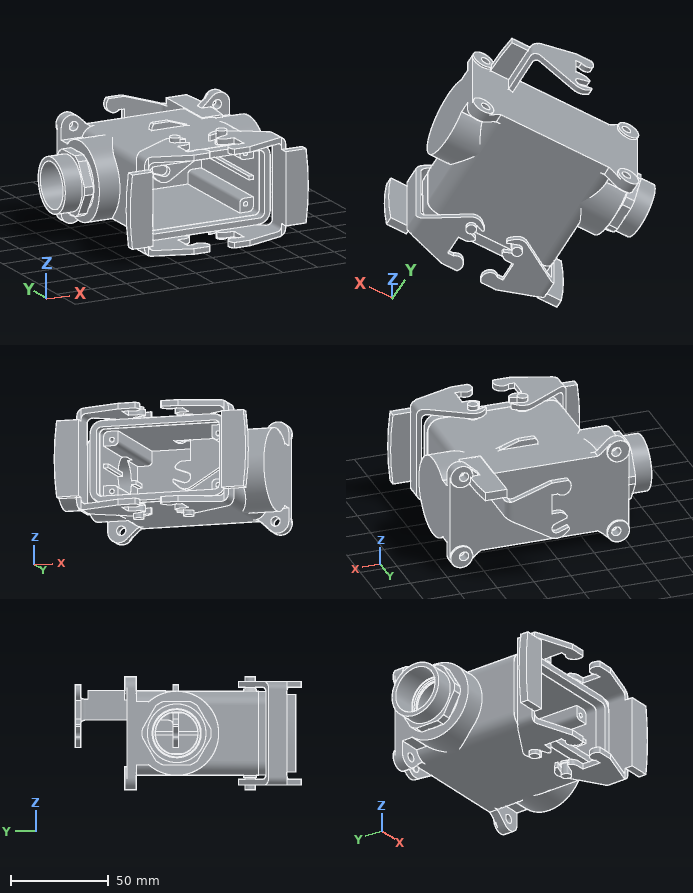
import cadquery as cq
import math


body_half_x = 36.8
body_half_z = 21.5
body_corner = 7.1
rear_y = 25.5
collar_rear_y = -41.9
collar_length = 5.7
collar_inset_x = 0.3
collar_inset_z = 0.1
wall = 3.6
pocket_half_x = 32.9
pocket_corner = 2.7
mouth_step = 0.1

entry_face_x = 48.6
entry_radius = body_half_z
saddle_half_z = 16.3
saddle_front_y = 14.3
lug_diameter = 12.0
lug_front_y = 20.6
lug_thickness = 6.0
lug_z = 23.0
lug_hole_x = 41.4
lug_hole_z = 22.8
lug_hole_diameter = 4.9
ramp_angle = 43.0
ramp_foot_x = 33.4
ramp_toe_x = 31.8
cable_hole_diameter = 22.5

screw_post_x = 25.1
screw_post_z = 10.4
screw_post_corner = 2.5
screw_post_recess = 12.1
screw_x = 28.5
screw_z = 13.5
screw_hole_diameter = 2.5
screw_hole_depth = 9.3
rib_height = 2.5
rib_width = 2.0

pivot_x = 13.5
pivot_y = -37.6
pin_diameter = 5.5
pin_top_z = 29.0
pin_collar_diameter = 6.5
pin_collar_height = 1.2

gland_end_x = -64.9
hex_start_x = -55.1
hex_length = 5.0
hex_across_flats = 32.6
hex_corner_diameter = 35.4
gland_diameter = 30.0
gland_collar_diameter = 31.0
gland_bore_diameter = 25.1
gland_bore_depth = 13.6
gland_seat_diameter = 24.2
gland_seat_depth = 15.0
gland_throat_diameter = 21.8

lever_half_z = 26.5
plate_thickness = 3.0
web_outer_u = 27.2
web_thickness = 2.3
web_inner_u = web_outer_u - web_thickness
bend_radius = 4.0
bend_inner_radius = 2.8
hub_diameter = 12.0
web_start_v = 9.5
web_end_v = 18.8
claw_end_v = 26.3
claw_flat_u = 2.6
claw_root_u = -0.5
window_u = 2.7
window_start_v = 8.6
window_end_v = 19.4
claw_tip = (-6.4, -claw_end_v)
claw_nose = (-7.5, -21.4)
claw_crest = (-3.5, -18.3)
claw_hollow = (-1.9, -18.6)
lip_start_u = -1.0
lip_tip = (-5.6, -5.8)
lip_end = (-5.2, -4.7)
hook_end = (-6.2, 0.2)
hook_nose = (-6.6, 0.9)
hook_corner = (-6.2, 2.6)
hook_shoulder = (-4.0, 4.5)
slot_angle = 20.0
slot_length = 23.3
grip_half_z = 19.9
grip_end_u = 36.6
grip_crown_u = 37.9
grip_start_v = web_end_v
grip_thickness = 4.5
stowed_lever_z = -1.4


def block(x0, x1, y0, y1, z0, z1):
    """Axis-aligned box between two corners."""
    return cq.Workplane("XY").box(x1 - x0, y1 - y0, z1 - z0, centered=False).translate((x0, y0, z0))


def rounded_bar(half_x, half_z, y0, y1, corner):
    """Bar along Y, centred on the Y axis, with rounded long edges."""
    return block(-half_x, half_x, y0, y1, -half_z, half_z).edges("|Y").fillet(corner)


def rod_x(diameter, x0, x1):
    """Cylinder on the X axis."""
    return cq.Workplane("YZ").workplane(offset=x0).circle(diameter / 2).extrude(x1 - x0)


def rod_y(diameter, x, z, y0, y1):
    """Cylinder along Y through (x, z)."""
    return cq.Workplane("XZ", origin=(x, y0, z)).circle(diameter / 2).extrude(y0 - y1)


def rod_z(diameter, height):
    """Cylinder at the right-hand pivot, standing on the top of the housing."""
    return cq.Workplane("XY", origin=(pivot_x, pivot_y, body_half_z)).circle(diameter / 2).extrude(height)


def four_corners(shape):
    """Shape from the +X+Z quadrant repeated in all four X-Z quadrants."""
    pair = shape.union(shape.mirror("YZ"))
    return pair.union(pair.mirror("XY"))


def make_shell():
    """Outer form of the housing with the collar around its opening."""
    shell = rounded_bar(body_half_x, body_half_z, collar_rear_y, rear_y, body_corner)
    collar = rounded_bar(body_half_x - collar_inset_x, body_half_z - collar_inset_z,
                         collar_rear_y - collar_length, collar_rear_y, body_corner - collar_inset_x)
    entries = rod_x(2 * entry_radius, -entry_face_x, entry_face_x)
    saddle = block(-entry_face_x, entry_face_x, saddle_front_y, rear_y, -saddle_half_z, saddle_half_z)
    return shell.union(collar).union(entries).union(saddle)


def make_lug():
    """Mounting ear with a sloping flank that runs down to the housing."""
    radius = lug_diameter / 2
    lug_x = entry_face_x - radius
    slope = math.radians(ramp_angle)
    tangent_x = lug_x - radius * math.sin(slope)
    tangent_z = lug_z + radius * math.cos(slope)
    foot_z = tangent_z - (tangent_x - ramp_foot_x) * math.tan(slope)
    flank = (
        cq.Workplane("XZ", origin=(0, lug_front_y, 0))
        .moveTo(body_half_x - body_corner, 0)
        .lineTo(body_half_x - body_corner, body_half_z)
        .lineTo(ramp_toe_x, body_half_z)
        .lineTo(ramp_foot_x, foot_z)
        .lineTo(tangent_x, tangent_z)
        .lineTo(lug_x, lug_z)
        .lineTo(entry_face_x, lug_z)
        .lineTo(entry_face_x, 0)
        .close()
        .extrude(lug_front_y - rear_y)
    )
    ear = rod_y(lug_diameter, lug_x, lug_z, lug_front_y, lug_front_y + lug_thickness)
    return flank.union(ear)


def make_cavity():
    """Space inside the housing, leaving the screw posts and the side ribs standing."""
    front_y = collar_rear_y - collar_length
    back_y = rear_y - wall
    pocket_half_z = body_half_z - wall
    post_front_y = front_y + screw_post_recess
    pocket = rounded_bar(pocket_half_x, pocket_half_z, front_y, back_y, pocket_corner)
    mouth = rounded_bar(pocket_half_x + mouth_step, pocket_half_z + mouth_step, front_y, collar_rear_y,
                        pocket_corner + mouth_step)
    post = (
        block(screw_post_x, pocket_half_x, post_front_y, back_y, screw_post_z, pocket_half_z)
        .edges("|Y and <X and <Z")
        .fillet(screw_post_corner)
        .cut(rod_y(screw_hole_diameter, screw_x, screw_z, post_front_y, post_front_y + screw_hole_depth))
    )
    rib = block(pocket_half_x - rib_height, pocket_half_x, post_front_y, back_y, -rib_width / 2, rib_width / 2)
    return pocket.union(mouth).cut(four_corners(post)).cut(rib).cut(rib.mirror("YZ"))


def make_pivot_pin():
    """Pivot pin with a low collar at its foot."""
    return rod_z(pin_diameter, pin_top_z - body_half_z).union(rod_z(pin_collar_diameter, pin_collar_height))


def make_housing(stowed_lever):
    """Housing with lugs and pivot pins, open where the stowed lever passes through it."""
    lug_hole = rod_y(lug_hole_diameter, lug_hole_x, lug_hole_z, lug_front_y, lug_front_y + lug_thickness)
    return (
        make_shell()
        .union(four_corners(make_lug()))
        .cut(four_corners(lug_hole))
        .cut(make_cavity())
        .cut(rod_x(cable_hole_diameter, -entry_face_x, rib_height - pocket_half_x))
        .union(four_corners(make_pivot_pin()))
        .cut(stowed_lever)
    )


def make_gland():
    """Hollow cable gland on the -X side entry, its bore stepping down to a throat."""
    hex_end_x = hex_start_x + hex_length
    bore_end_x = gland_end_x + gland_bore_depth
    seat_end_x = gland_end_x + gland_seat_depth
    hexagon = (
        cq.Workplane("YZ")
        .workplane(offset=hex_start_x)
        .polygon(6, hex_across_flats / math.cos(math.pi / 6))
        .extrude(hex_length)
        .intersect(rod_x(hex_corner_diameter, hex_start_x, hex_end_x))
    )
    return (
        rod_x(gland_diameter, gland_end_x, hex_start_x)
        .union(hexagon)
        .union(rod_x(gland_collar_diameter, hex_end_x, -entry_face_x))
        .cut(rod_x(gland_bore_diameter, gland_end_x, bore_end_x))
        .cut(rod_x(gland_seat_diameter, bore_end_x, seat_end_x))
        .cut(rod_x(gland_throat_diameter, seat_end_x, -entry_face_x))
    )


def lever_outline():
    """Side outline of the lever: hub, edge of the web, locking claw and lower lip (X = u, Y = -v)."""
    hub_radius = hub_diameter / 2
    reach = math.hypot(web_outer_u, web_start_v)
    touch_angle = math.acos(hub_radius / reach) - math.atan2(web_start_v, web_outer_u)
    touch = (hub_radius * math.cos(touch_angle), hub_radius * math.sin(touch_angle))
    return (
        cq.Workplane("XY", origin=(0, 0, -lever_half_z))
        .moveTo(web_outer_u, -web_start_v)
        .lineTo(web_outer_u, -web_end_v)
        .lineTo(web_inner_u, -web_end_v)
        .lineTo(claw_flat_u, -claw_end_v)
        .lineTo(*claw_tip)
        .threePointArc(claw_nose, claw_crest)
        .threePointArc(claw_hollow, (claw_root_u, -window_end_v))
        .lineTo(window_u, -window_end_v)
        .lineTo(window_u, -window_start_v)
        .lineTo(lip_start_u, -window_start_v)
        .tangentArcPoint(lip_tip, relative=False)
        .lineTo(*lip_end)
        .lineTo(*hook_end)
        .threePointArc(hook_nose, hook_corner)
        .lineTo(*hook_shoulder)
        .threePointArc((0, hub_radius), touch)
        .close()
        .extrude(2 * lever_half_z)
    )


def make_lever():
    """Bent sheet lever with two slotted side plates, a web and a crowned grip; pivot at the origin."""
    inner_half_z = lever_half_z - plate_thickness
    sheet = (
        block(-web_outer_u, web_outer_u, -claw_end_v, hub_diameter, -lever_half_z, lever_half_z)
        .edges("|Y and >X")
        .fillet(bend_radius)
    )
    hollow = (
        block(-web_outer_u, web_inner_u, -claw_end_v, hub_diameter, -inner_half_z, inner_half_z)
        .edges("|Y and >X")
        .fillet(bend_inner_radius)
    )
    pin_slot = (
        cq.Workplane("XY", origin=(0, 0, -lever_half_z))
        .center(-slot_length / 2, 0)
        .slot2D(slot_length + pin_diameter, pin_diameter)
        .extrude(2 * lever_half_z)
        .rotate((0, 0, 0), (0, 0, 1), slot_angle)
    )
    grip = (
        cq.Workplane("XZ", origin=(0, -grip_start_v, 0))
        .moveTo(web_inner_u, -grip_half_z)
        .lineTo(grip_end_u, -grip_half_z)
        .threePointArc((grip_crown_u, 0), (grip_end_u, grip_half_z))
        .lineTo(web_inner_u, grip_half_z)
        .close()
        .extrude(grip_thickness)
    )
    return sheet.cut(hollow).intersect(lever_outline()).cut(pin_slot).union(grip)


lever_placements = [
    ((0, 1, 0), 0, (pivot_x, pivot_y, 0)),
    ((0, 1, 0), 180, (-pivot_x, pivot_y, 0)),
    ((1, 0, 0), -90, (0, rear_y, stowed_lever_z)),
]

levers = []
for axis, angle, pivot in lever_placements:
    levers.append(make_lever().rotate((0, 0, 0), axis, angle).translate(pivot))

housing = make_housing(stowed_lever=levers[-1])
gland = make_gland()

result = cq.Compound.makeCompound([housing.val(), gland.val(), *[lever.val() for lever in levers]])